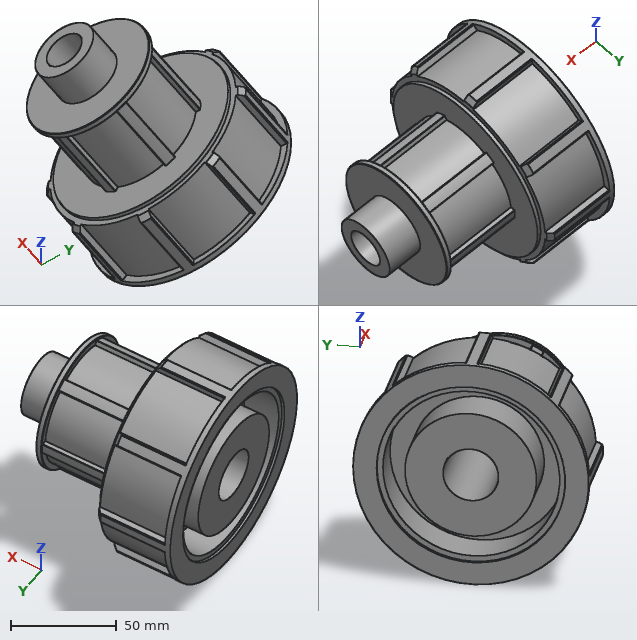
import cadquery as cq

rim_width = 3.0
nut_length = 41.4
step_end = 43.4
collar_start = 85.2
collar_end = 88.3
total_length = 108.0

nut_diameter = 113
nut_body_diameter = 105.5
step_diameter = 99.4
barrel_diameter = 63.0
collar_diameter = 69.8
spigot_diameter = 33.2
collar_chamfer = 0.3

rib_width = 6.2
nut_rib_count = 8
nut_rib_end_chamfer = 2.7
nut_rib_bevel = 0.6
barrel_rib_count = 6
barrel_rib_diameter = 68.1
barrel_rib_bevel = 0.3

counterbore_diameter = 90.4
counterbore_depth = 1.5
recess_diameter = 84.8
recess_depth = 20.5

bore_diameter = 26.5
spigot_bore_diameter = 20.0
bore_taper_length = (bore_diameter - spigot_bore_diameter) / 2
bore_taper_start = collar_end - bore_taper_length


def disc(start, end, diameter):
    """Solid cylinder on the X axis between two stations."""
    return cq.Workplane("YZ").workplane(offset=start).circle(diameter / 2).extrude(end - start)


def ribs(start, end, diameter, bevel, count):
    """Evenly spaced straight ribs with a round crest and bevelled crest edges."""
    side = rib_width / 2
    crest = diameter / 2
    bar = (
        cq.Workplane("YZ")
        .workplane(offset=start)
        .moveTo(0, -side)
        .lineTo(crest - bevel, -side)
        .lineTo(crest, bevel - side)
        .lineTo(crest + bevel, bevel - side)
        .lineTo(crest + bevel, side - bevel)
        .lineTo(crest, side - bevel)
        .lineTo(crest - bevel, side)
        .lineTo(0, side)
        .close()
        .extrude(end - start)
    )
    star = bar
    for index in range(1, count):
        star = star.union(bar.rotate((0, 0, 0), (1, 0, 0), index * 360 / count))
    return star.intersect(disc(start, end, diameter))


def make_nut():
    """Ribbed nut with a plain rim, an end step and an annular recess at the open end."""
    blank = disc(0, nut_length, nut_diameter).faces(">X").chamfer(nut_rib_end_chamfer)
    gaps = (
        disc(rim_width, nut_length, nut_diameter)
        .cut(disc(rim_width, nut_length, nut_body_diameter))
        .cut(ribs(rim_width, nut_length, nut_diameter, nut_rib_bevel, nut_rib_count))
    )
    step = disc(nut_length, step_end, step_diameter)
    recess = disc(0, recess_depth, recess_diameter)
    counterbore = disc(0, counterbore_depth, counterbore_diameter)
    return blank.cut(gaps).union(step).cut(recess).cut(counterbore)


def make_barrel():
    """Core through the nut, ribbed behind it, ending in a collar and a spigot."""
    collar = disc(collar_start, collar_end, collar_diameter).edges().chamfer(collar_chamfer)
    return (
        disc(0, collar_start, barrel_diameter)
        .union(ribs(step_end, collar_start, barrel_rib_diameter, barrel_rib_bevel, barrel_rib_count))
        .union(collar)
        .union(disc(collar_end, total_length, spigot_diameter))
    )


def make_bore():
    """Wide bore, 45 degree taper and a narrower hole out through the spigot."""
    return (
        cq.Workplane("XY")
        .lineTo(0, bore_diameter / 2)
        .lineTo(bore_taper_start, bore_diameter / 2)
        .lineTo(collar_end, spigot_bore_diameter / 2)
        .lineTo(total_length, spigot_bore_diameter / 2)
        .lineTo(total_length, 0)
        .close()
        .revolve(360, (0, 0, 0), (1, 0, 0))
    )


result = make_nut().union(make_barrel()).cut(make_bore())